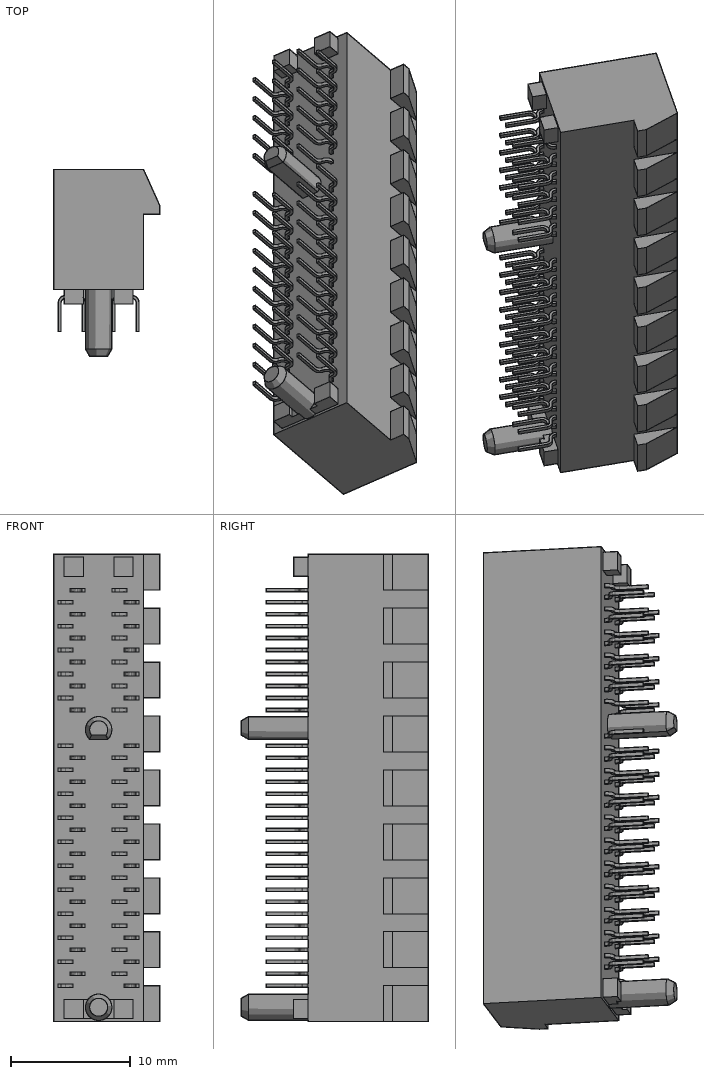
import cadquery as cq
import math

TOTAL_DEPTH = 15.6
BODY_WIDTH = 7.5
BODY_DEPTH = 10.03
BODY_LENGTH = 39.0

HOOK_COUNT = 9
HOOK_LENGTH = 3.0
HOOK_PITCH = (BODY_LENGTH - HOOK_LENGTH) / (HOOK_COUNT - 1)
HOOK_REACH = 1.35
HOOK_SLOPE_DEPTH = 3.0
HOOK_DEPTH = 3.75

PAD_SIZE = 1.6
PAD_HEIGHT = 1.2
PAD_SPACING = 4.15
PAD_END_GAP = 0.25
BRIDGE_HEIGHT = 0.8

PEG_RADIUS = 1.1
PEG_LENGTH = TOTAL_DEPTH - BODY_DEPTH
PEG_TIP_LENGTH = 0.6
PEG_TIP_INSET = 0.35
ROUND_PEG_Z = 1.2
PEG_DISTANCE = 23.15
FLAT_PEG_Z = ROUND_PEG_Z + PEG_DISTANCE
FLAT_OFFSET = 0.8

PIN_WIDTH = 0.3
PIN_THICKNESS = 0.25
PIN_LENGTH = 3.5
PIN_PITCH = 1.0
PIN_EXIT_X = 2.25
PIN_JOG = 1.0
PIN_BEND_RADIUS = PIN_JOG / 2
PIN_BEND_START = 0.1
PIN_ROOT = 0.5
FIRST_PIN_Z = 3.0
LOWER_PIN_COUNT = 21
UPPER_PIN_COUNT = 11
SKIPPED_PINS = 2


def make_body():
    return cq.Workplane("XY").box(
        BODY_WIDTH, BODY_DEPTH, BODY_LENGTH, centered=(True, False, False)
    )


def make_hook(bottom_z):
    side_x = BODY_WIDTH / 2
    tip_x = side_x + HOOK_REACH
    return (
        cq.Workplane("XY", origin=(0, 0, bottom_z))
        .moveTo(0, BODY_DEPTH)
        .lineTo(side_x, BODY_DEPTH)
        .lineTo(tip_x, BODY_DEPTH - HOOK_SLOPE_DEPTH)
        .lineTo(tip_x, BODY_DEPTH - HOOK_DEPTH)
        .lineTo(0, BODY_DEPTH - HOOK_DEPTH)
        .close()
        .extrude(HOOK_LENGTH)
    )


def board_plane(x, z):
    """Sketch plane on the board-side face, with its normal pointing to the board."""
    return cq.Workplane("XZ", origin=(x, 0, z))


def make_pad_pair(center_z):
    pads = board_plane(0, center_z).pushPoints([(-PAD_SPACING / 2, 0), (PAD_SPACING / 2, 0)])
    return pads.rect(PAD_SIZE, PAD_SIZE).extrude(PAD_HEIGHT)


def make_bridge(center_z):
    """Lower bar that joins the two pads behind the round peg."""
    return board_plane(0, center_z).rect(PAD_SPACING, PAD_SIZE).extrude(BRIDGE_HEIGHT)


def make_peg(z):
    peg = board_plane(0, z).circle(PEG_RADIUS).extrude(PEG_LENGTH)
    return peg.faces("<Y").chamfer(PEG_TIP_LENGTH, PEG_TIP_INSET)


def make_flat_peg(z):
    """Peg with a flat along its lower side that follows the tapered tip."""
    flat_z = z - FLAT_OFFSET
    below_z = z - 2 * PEG_RADIUS
    waste = (
        cq.Workplane("YZ")
        .moveTo(0, flat_z)
        .lineTo(PEG_TIP_LENGTH - PEG_LENGTH, flat_z)
        .lineTo(-PEG_LENGTH, flat_z + PEG_TIP_INSET)
        .lineTo(-PEG_LENGTH, below_z)
        .lineTo(0, below_z)
        .close()
        .extrude(PEG_RADIUS, both=True)
    )
    return make_peg(z).cut(waste)


def make_pin(exit_x, jog, z):
    """Rectangular wire with an S-bend that moves it sideways by `jog`."""
    turn = math.copysign(PIN_BEND_RADIUS, jog)
    run_y = -PIN_BEND_START - PIN_BEND_RADIUS
    path = (
        cq.Workplane("XY", origin=(0, 0, z))
        .moveTo(exit_x, PIN_ROOT)
        .lineTo(exit_x, -PIN_BEND_START)
        .radiusArc((exit_x + turn, run_y), -turn)
        .radiusArc((exit_x + jog, run_y - PIN_BEND_RADIUS), turn)
        .lineTo(exit_x + jog, -PIN_LENGTH)
    )
    wire = cq.Workplane("XZ", origin=(exit_x, PIN_ROOT, z)).rect(PIN_THICKNESS, PIN_WIDTH)
    return wire.sweep(path)


def pin_slots():
    """Slot numbers from the lower end, leaving the slots beside the flat peg empty."""
    upper_start = LOWER_PIN_COUNT + SKIPPED_PINS
    lower = list(range(LOWER_PIN_COUNT))
    upper = list(range(upper_start, upper_start + UPPER_PIN_COUNT))
    return lower + upper


def make_pins():
    pins = []
    for slot in pin_slots():
        outward = PIN_JOG if slot % 2 == 0 else -PIN_JOG
        z = FIRST_PIN_Z + slot * PIN_PITCH
        pins.append(make_pin(PIN_EXIT_X, outward, z).val())
        pins.append(make_pin(-PIN_EXIT_X, -outward, z).val())
    return pins


def make_connector():
    lower_pad_z = PAD_END_GAP + PAD_SIZE / 2
    features = [make_hook(i * HOOK_PITCH).val() for i in range(HOOK_COUNT)]
    for pad_z in (lower_pad_z, BODY_LENGTH - lower_pad_z):
        features.extend(make_pad_pair(pad_z).vals())
    features.append(make_bridge(lower_pad_z).val())
    features.append(make_peg(ROUND_PEG_Z).val())
    features.append(make_flat_peg(FLAT_PEG_Z).val())
    features.extend(make_pins())
    return cq.Workplane(make_body().val().fuse(*features).clean())


result = make_connector()